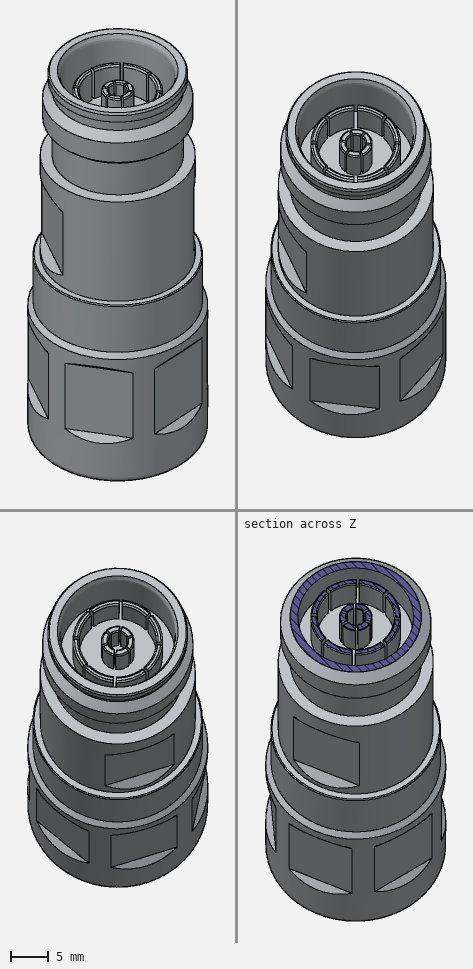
import cadquery as cq

NUT_DIAMETER = 23.9
NUT_RADIUS = NUT_DIAMETER / 2
NUT_SHOULDER_Z = 21.6
NUT_BOTTOM_FILLET = 1.0
SLEEVE_RADIUS = 11.25
SLEEVE_EDGE_CHAMFER = 0.15
NUT_SHOULDER_CHAMFER = NUT_RADIUS - SLEEVE_RADIUS
NUT_FLAT_COUNT = 6
NUT_FLAT_DISTANCE = 11.0
NUT_FLAT_BOTTOM_Z = 7.6
NUT_FLAT_TOP_Z = 18.5

HEIGHT = 60.15
SPLIT_Z = 29.4
BARREL_RADIUS = 10.3
BARREL_TOP_Z = 46.1
BARREL_FLAT_COUNT = 2
BARREL_FLAT_DISTANCE = 9.1
BARREL_FLAT_BOTTOM_Z = 31.45
BARREL_FLAT_TOP_Z = 41.9
NECK_RADIUS = 8.7
COLLAR_RADIUS = 10.0
COLLAR_SLOPE_HEIGHT = 1.15
COLLAR_BOTTOM_Z = 51.35
COLLAR_TOP_Z = 56.9
RIM_RADIUS = 9.25
RIM_HEIGHT = 1.45
RIM_CHAMFER_WIDTH = 0.2
RIM_CHAMFER_HEIGHT = 0.35

MOUTH_RADIUS = 8.0
LEAD_IN_DEPTH = 0.65
LEAD_IN_RADIUS = 7.7
BORE_RADIUS = 7.65
LEAD_IN_STEP_HEIGHT = 0.35
BORE_FLOOR_Z = 52.3
CONTACT_TOP_Z = 57.0
CONTACT_HEIGHT = CONTACT_TOP_Z - BORE_FLOOR_Z
RING_OUTER_RADIUS = 5.95
RING_INNER_RADIUS = 5.1
RING_TIP_CHAMFER = 0.25
RING_SLOT_COUNT = 8
RING_SLOT_WIDTH = 0.4
CENTRE_OUTER_RADIUS = 2.15
CENTRE_INNER_RADIUS = 1.25
CENTRE_TIP_CHAMFER = 0.2
CENTRE_SLOT_COUNT = 6
CENTRE_SLOT_WIDTH = 0.3

CUT_MARGIN = 3.0


def revolve_profile(points):
    """Solid of revolution about Z from a closed (radius, z) outline."""
    return cq.Workplane("XZ").polyline(points).close().revolve(360, (0, 0, 0), (0, 1, 0))


def cut_wrench_flats(body, count, distance, bottom_z, top_z):
    """Cut flats with 45 degree run-outs above and below, the first one facing -Y."""
    outer = distance + CUT_MARGIN
    cutter = (
        cq.Workplane("YZ")
        .polyline([
            (-distance, bottom_z),
            (-outer, bottom_z - CUT_MARGIN),
            (-outer, top_z + CUT_MARGIN),
            (-distance, top_z),
        ])
        .close()
        .extrude(distance, both=True)
    )
    for i in range(count):
        body = body.cut(cutter.rotate((0, 0, 0), (0, 0, 1), i * 360 / count))
    return body


def make_clamp_nut():
    outline = [
        (0, 0),
        (NUT_RADIUS, 0),
        (NUT_RADIUS, NUT_SHOULDER_Z - NUT_SHOULDER_CHAMFER),
        (SLEEVE_RADIUS, NUT_SHOULDER_Z),
        (SLEEVE_RADIUS, SPLIT_Z - SLEEVE_EDGE_CHAMFER),
        (SLEEVE_RADIUS - SLEEVE_EDGE_CHAMFER, SPLIT_Z),
        (0, SPLIT_Z),
    ]
    nut = revolve_profile(outline).faces("<Z").edges().fillet(NUT_BOTTOM_FILLET)
    return cut_wrench_flats(
        nut, NUT_FLAT_COUNT, NUT_FLAT_DISTANCE, NUT_FLAT_BOTTOM_Z, NUT_FLAT_TOP_Z
    )


def make_head_shell():
    """Outside of the head together with its stepped bore."""
    outline = [
        (0, SPLIT_Z),
        (BARREL_RADIUS, SPLIT_Z),
        (BARREL_RADIUS, BARREL_TOP_Z),
        (NECK_RADIUS, BARREL_TOP_Z),
        (NECK_RADIUS, COLLAR_BOTTOM_Z),
        (COLLAR_RADIUS, COLLAR_BOTTOM_Z + COLLAR_SLOPE_HEIGHT),
        (COLLAR_RADIUS, COLLAR_TOP_Z - COLLAR_SLOPE_HEIGHT),
        (NECK_RADIUS, COLLAR_TOP_Z),
        (NECK_RADIUS, HEIGHT - RIM_HEIGHT),
        (RIM_RADIUS, HEIGHT - RIM_HEIGHT),
        (RIM_RADIUS, HEIGHT - RIM_CHAMFER_HEIGHT),
        (RIM_RADIUS - RIM_CHAMFER_WIDTH, HEIGHT),
        (MOUTH_RADIUS, HEIGHT),
        (LEAD_IN_RADIUS, HEIGHT - LEAD_IN_DEPTH),
        (BORE_RADIUS, HEIGHT - LEAD_IN_DEPTH - LEAD_IN_STEP_HEIGHT),
        (BORE_RADIUS, BORE_FLOOR_Z),
        (0, BORE_FLOOR_Z),
    ]
    return cut_wrench_flats(
        revolve_profile(outline),
        BARREL_FLAT_COUNT,
        BARREL_FLAT_DISTANCE,
        BARREL_FLAT_BOTTOM_Z,
        BARREL_FLAT_TOP_Z,
    )


def make_slotted_tube(outer_radius, inner_radius, tip_chamfer, slot_count, slot_width, first_angle):
    """Contact tube on the bore floor, split into spring fingers by radial slots."""
    tube = (
        cq.Workplane("XY", origin=(0, 0, BORE_FLOOR_Z))
        .circle(outer_radius)
        .circle(inner_radius)
        .extrude(CONTACT_HEIGHT)
        .faces(">Z")
        .edges()
        .chamfer(tip_chamfer)
    )
    slot = (
        cq.Workplane("XY", origin=(0, 0, BORE_FLOOR_Z))
        .rect(outer_radius + CUT_MARGIN, slot_width)
        .extrude(CONTACT_HEIGHT)
        .translate(((outer_radius + CUT_MARGIN) / 2, 0, 0))
    )
    for i in range(slot_count):
        angle = first_angle + i * 360 / slot_count
        tube = tube.cut(slot.rotate((0, 0, 0), (0, 0, 1), angle))
    return tube


def make_head():
    outer_ring = make_slotted_tube(
        RING_OUTER_RADIUS,
        RING_INNER_RADIUS,
        RING_TIP_CHAMFER,
        RING_SLOT_COUNT,
        RING_SLOT_WIDTH,
        180 / RING_SLOT_COUNT,
    )
    centre_contact = make_slotted_tube(
        CENTRE_OUTER_RADIUS,
        CENTRE_INNER_RADIUS,
        CENTRE_TIP_CHAMFER,
        CENTRE_SLOT_COUNT,
        CENTRE_SLOT_WIDTH,
        0,
    )
    return make_head_shell().union(outer_ring).union(centre_contact)


clamp_nut = make_clamp_nut()
head = make_head()

result = cq.Compound.makeCompound([clamp_nut.val(), head.val()])